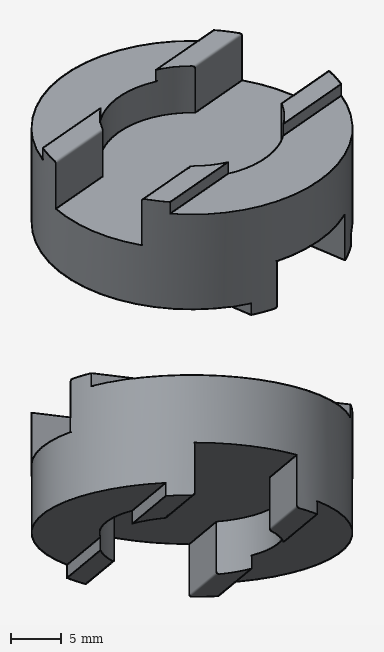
import cadquery as cq

diameter = 31.7
total_height = 13.9
rib_height = 1.35
slot_width = 10.78
slot_depth = 5.48
rib_outer_width = 15.98
bore_diameter = 18.25
rib_fillet = 0.3

half_height = total_height / 2
body_height = total_height - 2 * rib_height
floor_z = half_height - slot_depth
rib_width = (rib_outer_width - slot_width) / 2
rib_center = (rib_outer_width + slot_width) / 4


def cylinder(size, bottom, height):
    return cq.Workplane("XY").workplane(offset=bottom).circle(size / 2).extrude(height)


def make_upper_cutter():
    """Bore and full-width slot along Y, sharing one floor."""
    slot = (
        cq.Workplane("XY")
        .workplane(offset=floor_z)
        .rect(slot_width, diameter)
        .extrude(slot_depth)
    )
    return slot.union(cylinder(bore_diameter, floor_z, slot_depth))


def make_rib(side):
    """Bar along Y beside the slot, standing on the slot floor level."""
    slot_side_edge = "<X" if side > 0 else ">X"
    return (
        cq.Workplane("XY")
        .workplane(offset=floor_z)
        .center(side * rib_center, 0)
        .rect(rib_width, diameter)
        .extrude(slot_depth)
        .faces(">Z")
        .edges(slot_side_edge)
        .fillet(rib_fillet)
    )


def make_upper_ribs():
    """Both bars, trimmed by the rim outside and the bore inside."""
    bars = make_rib(-1).union(make_rib(1))
    rim = cylinder(diameter, floor_z, slot_depth)
    return bars.intersect(rim).cut(cylinder(bore_diameter, floor_z, slot_depth))


def to_lower_face(shape):
    """Flip onto the lower face and turn a quarter about Z."""
    return shape.rotate((0, 0, 0), (1, 0, 0), 180).rotate((0, 0, 0), (0, 0, 1), 90)


cutter = make_upper_cutter()
ribs = make_upper_ribs()

body = cylinder(diameter, -body_height / 2, body_height)
body = body.cut(cutter).cut(to_lower_face(cutter))
result = body.union(ribs).union(to_lower_face(ribs))